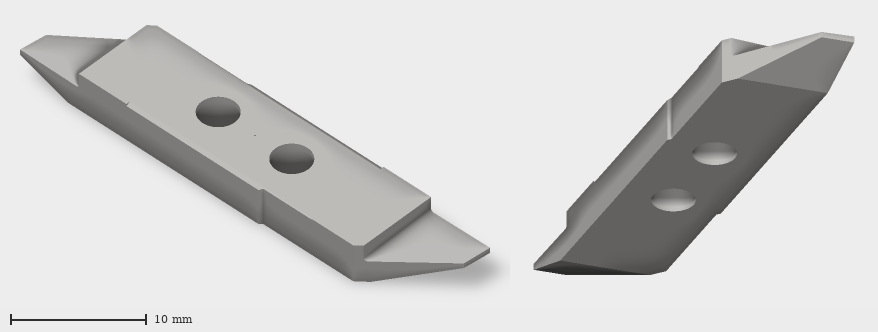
import cadquery as cq
import math

LENGTH = 40
WIDTH = 8
HEIGHT = 3.6
HALF_LENGTH = LENGTH / 2
HALF_WIDTH = WIDTH / 2
OVERCUT = 2

TIP_CORNER = (-19.7, -1.5)
RELIEF_END_X = -13.45
SIDE_STEP = 0.25
SIDE_STEP_X = -4.1
relieved_side = HALF_WIDTH - SIDE_STEP

SHOULDER_X = 14.05
RAKE_HEEL_Z = 2.2
RAKE_TIP_Z = 2.3
RAKE_SIDE_TILT = 1.3
SHOULDER_RADIUS = 0.3

CLEARANCE_START_X = 15.25
CLEARANCE_TIP_Z = 1.75
clearance_skew = math.degrees(math.atan((HALF_LENGTH + TIP_CORNER[0]) / (HALF_WIDTH + TIP_CORNER[1])))

BEVEL_LENGTH = 18.5
BEVEL_WIDTH = 0.35
BEVEL_DEPTH = 0.2

HOLE_DIAMETER = 3.3
HOLE_SPACING = 7.45
CENTRE_MARK_DIAMETER = 0.1
CENTRE_MARK_DEPTH = 0.1


def half_turn(shape):
    return shape.rotate((0, 0, 0), (0, 0, 1), 180)


def make_body():
    half_outline = [
        (-HALF_LENGTH, -HALF_WIDTH),
        TIP_CORNER,
        (RELIEF_END_X, relieved_side),
        (SIDE_STEP_X - SIDE_STEP, relieved_side),
        (SIDE_STEP_X, HALF_WIDTH),
    ]
    opposite_half = [(-x, -y) for x, y in half_outline]
    return cq.Workplane("XY").polyline(half_outline + opposite_half).close().extrude(HEIGHT)


def end_cutter(profile):
    """Extrude a closed XZ profile across the width, past both sides."""
    return profile.extrude(WIDTH + 2 * OVERCUT).translate((0, HALF_WIDTH + OVERCUT, 0))


def make_rake_cutter():
    """Space above the left rake surface, with a round at the foot of the shoulder."""
    rake_start_x = -SHOULDER_X - SHOULDER_RADIUS
    rake_slope = (RAKE_TIP_Z - RAKE_HEEL_Z) / (HALF_LENGTH + rake_start_x)
    outer_x = -HALF_LENGTH - OVERCUT
    profile = (
        cq.Workplane("XZ")
        .moveTo(outer_x, RAKE_TIP_Z + OVERCUT * rake_slope)
        .lineTo(rake_start_x, RAKE_HEEL_Z)
        .radiusArc((-SHOULDER_X, RAKE_HEEL_Z + SHOULDER_RADIUS), -SHOULDER_RADIUS)
        .lineTo(-SHOULDER_X, HEIGHT + OVERCUT)
        .lineTo(outer_x, HEIGHT + OVERCUT)
        .close()
    )
    hinge = (0, -HALF_WIDTH, RAKE_HEEL_Z)
    return end_cutter(profile).rotate(hinge, (1, -HALF_WIDTH, RAKE_HEEL_Z), -RAKE_SIDE_TILT)


def make_clearance_cutter():
    """Space below the left clearance surface, parallel to the skewed tip edge."""
    slope = CLEARANCE_TIP_Z / (HALF_LENGTH - CLEARANCE_START_X)
    outer_x = -HALF_LENGTH - OVERCUT
    inner_x = -CLEARANCE_START_X + OVERCUT
    profile = (
        cq.Workplane("XZ")
        .moveTo(outer_x, CLEARANCE_TIP_Z + OVERCUT * slope)
        .lineTo(inner_x, -OVERCUT * slope)
        .lineTo(outer_x, -OVERCUT * slope)
        .close()
    )
    pivot = (-HALF_LENGTH, -HALF_WIDTH, 0)
    return end_cutter(profile).rotate(pivot, (-HALF_LENGTH, -HALF_WIDTH, 1), -clearance_skew)


def make_bevel_cutter():
    """Wedge along the upper edge of the -Y side."""
    return (
        cq.Workplane("YZ")
        .polyline([
            (-HALF_WIDTH, HEIGHT - BEVEL_DEPTH),
            (-HALF_WIDTH + BEVEL_WIDTH, HEIGHT),
            (-HALF_WIDTH, HEIGHT),
        ])
        .close()
        .extrude(BEVEL_LENGTH / 2, both=True)
    )


result = make_body()
for cutter in (make_rake_cutter(), make_clearance_cutter(), make_bevel_cutter()):
    result = result.cut(cutter).cut(half_turn(cutter))

top_plane = cq.Workplane("XY", origin=(0, 0, HEIGHT))
through_holes = top_plane.rarray(HOLE_SPACING, 0.4, 2, 1).circle(HOLE_DIAMETER / 2).extrude(-HEIGHT)
centre_mark = top_plane.circle(CENTRE_MARK_DIAMETER / 2).extrude(-CENTRE_MARK_DEPTH)
result = result.cut(through_holes).cut(centre_mark)